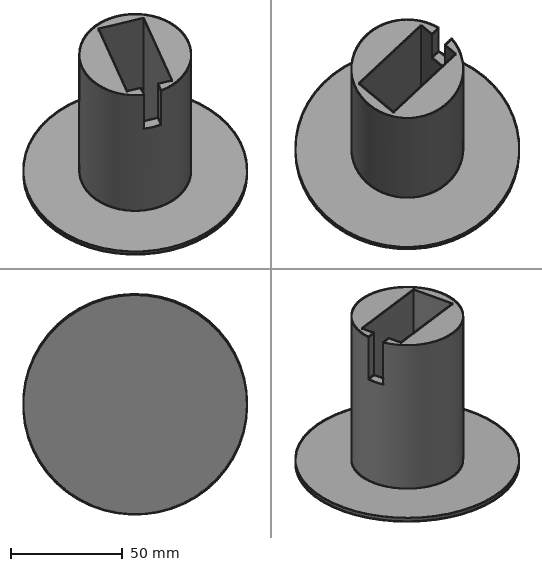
import cadquery as cq

flange_diameter = 100.0
flange_thickness = 2.0

post_diameter = 50.0
post_height = 75.0
top_z = flange_thickness + post_height

pocket_length = 40.5
pocket_width = 21.2

notch_width = 8.0
notch_depth = 22.0


def make_body():
    flange = cq.Workplane("XY").circle(flange_diameter / 2).extrude(flange_thickness)
    post = (
        cq.Workplane("XY")
        .workplane(offset=flange_thickness)
        .circle(post_diameter / 2)
        .extrude(post_height)
    )
    return flange.union(post)


def make_pocket():
    return (
        cq.Workplane("XY")
        .workplane(offset=flange_thickness)
        .rect(pocket_length, pocket_width)
        .extrude(post_height)
    )


def make_notch():
    return cq.Workplane("XY").box(
        post_diameter / 2, notch_width, notch_depth, centered=(False, True, False)
    ).translate((0, 0, top_z - notch_depth))


result = make_body().cut(make_pocket()).cut(make_notch())